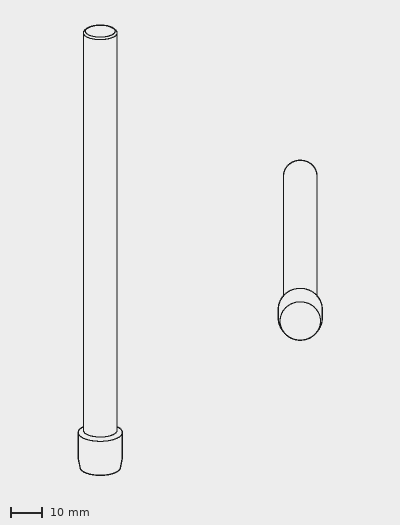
import cadquery as cq

total_length = 150.0
rod_diameter = 10.6
rod_tip_chamfer = 0.6

cap_diameter = 14.0
cap_height = 12.8
cap_shoulder_height = 0.8
cap_taper_height = 3.2
cap_bottom_diameter = 12.8
socket_floor = cap_taper_height

rod_radius = rod_diameter / 2
cap_radius = cap_diameter / 2


def make_rod():
    """Round rod with a chamfered upper end, standing on the socket floor."""
    rod = cq.Workplane("XY").workplane(offset=socket_floor)
    rod = rod.circle(rod_radius).extrude(total_length - socket_floor)
    return rod.faces(">Z").chamfer(rod_tip_chamfer)


def make_cap():
    """Turned cap with a sloping rim, a tapered foot and a blind socket for the rod."""
    return (
        cq.Workplane("XZ")
        .moveTo(0, 0)
        .lineTo(cap_bottom_diameter / 2, 0)
        .lineTo(cap_radius, cap_taper_height)
        .lineTo(cap_radius, cap_height - cap_shoulder_height)
        .lineTo(rod_radius, cap_height)
        .lineTo(rod_radius, socket_floor)
        .lineTo(0, socket_floor)
        .close()
        .revolve(360, (0, 0, 0), (0, 1, 0))
    )


rod = make_rod()
cap = make_cap()
result = cq.Compound.makeCompound([rod.val(), cap.val()])